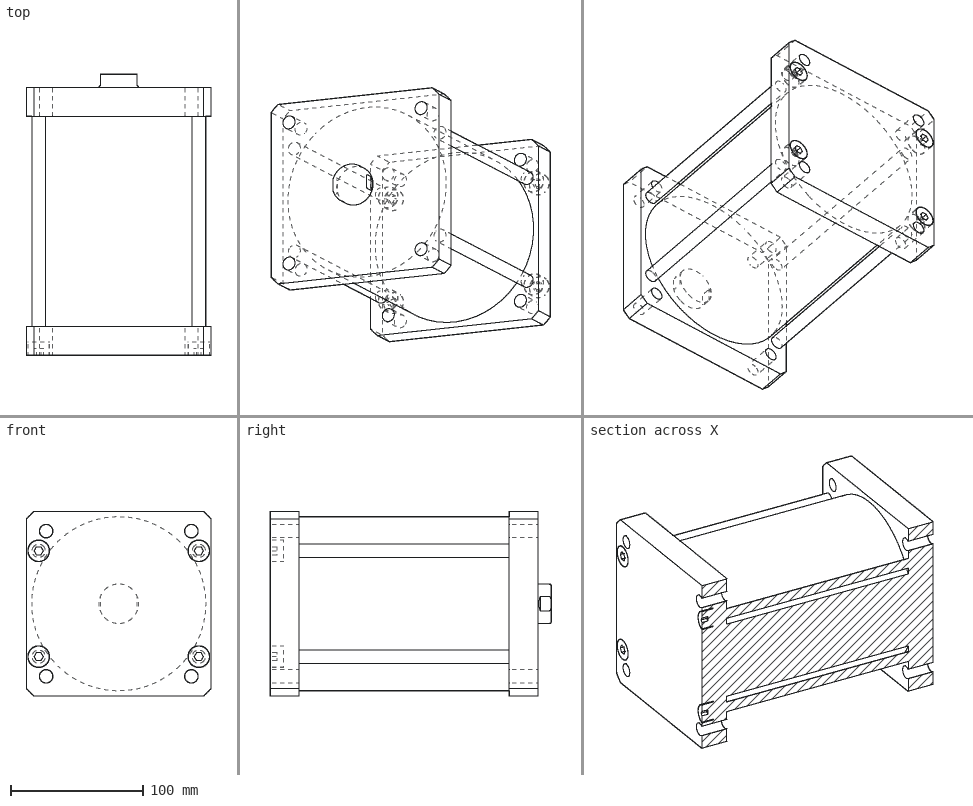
import cadquery as cq
import math

plate_width = 140.0
plate_thickness = 22.0
plate_corner_diameter = 190.0
mount_hole_diameter = 10.0
mount_hole_offset = 55.0

barrel_diameter = 132.0
barrel_length = 159.0

tie_rod_diameter = 10.0
tie_rod_x = 60.65
tie_rod_z = 40.1
head_diameter = 16.0
head_height = 10.0
head_recess_diameter = 16.5
hex_across_flats = 6.0
hex_depth = 5.0

piston_rod_diameter = 30.0
piston_rod_length = 10.0
piston_rod_across_flats = 28.0
flat_base_gap = 1.6
rod_end_fillet = 1.5

front_face = 0.0
barrel_start = front_face + plate_thickness
barrel_end = barrel_start + barrel_length
rear_face = barrel_end + plate_thickness
rod_end = rear_face + piston_rod_length

mount_hole_points = [(sx * mount_hole_offset, sz * mount_hole_offset) for sx in (-1, 1) for sz in (-1, 1)]
tie_rod_points = [(sx * tie_rod_x, sz * tie_rod_z) for sx in (-1, 1) for sz in (-1, 1)]


def section_at(y):
    """Workplane across the Y axis at station y, with local axes +X and +Z and extrusion toward -Y."""
    return cq.Workplane("XZ", origin=(0, y, 0))


def cylinders(points, diameter, y_start, y_end):
    """Round bars along Y at the given (x, z) points."""
    return section_at(y_end).pushPoints(points).circle(diameter / 2).extrude(y_end - y_start)


def end_plate(y_start):
    """Square plate with corners turned to a common circle and four mounting holes."""
    y_end = y_start + plate_thickness
    plate = section_at(y_end).rect(plate_width, plate_width).extrude(plate_thickness)
    plate = plate.intersect(cylinders([(0, 0)], plate_corner_diameter, y_start, y_end))
    return plate.cut(cylinders(mount_hole_points, mount_hole_diameter, y_start, y_end))


def barrel():
    """Plain cylinder between the plates."""
    return cylinders([(0, 0)], barrel_diameter, barrel_start, barrel_end)


def tie_rods():
    """Four rods between the plates, just clear of the barrel wall."""
    return cylinders(tie_rod_points, tie_rod_diameter, barrel_start, barrel_end)


def head_clearances():
    """Ring gaps around the recessed rod heads and the hexagon sockets in them."""
    ring_end = front_face + head_height
    rings = cylinders(tie_rod_points, head_recess_diameter, front_face, ring_end)
    rings = rings.cut(cylinders(tie_rod_points, head_diameter, front_face, ring_end))
    hex_across_corners = hex_across_flats / math.cos(math.pi / 6)
    sockets = (
        section_at(front_face + hex_depth)
        .pushPoints(tie_rod_points)
        .polygon(6, hex_across_corners)
        .extrude(hex_depth)
    )
    return rings.union(sockets)


def piston_rod():
    """Rod end with a rounded tip and two flats facing -X and +X, each running out in a 45 degree ramp."""
    half_flats = piston_rod_across_flats / 2
    half_base = piston_rod_diameter / 2
    flat_start = rear_face + flat_base_gap
    ramp_start = flat_start - (half_base - half_flats)
    rod = cylinders([(0, 0)], piston_rod_diameter, rear_face, rod_end)
    rod = rod.faces(">Y").edges().fillet(rod_end_fillet)
    kept_profile = [
        (half_base, rear_face),
        (half_base, ramp_start),
        (half_flats, flat_start),
        (half_flats, rod_end),
        (-half_flats, rod_end),
        (-half_flats, flat_start),
        (-half_base, ramp_start),
        (-half_base, rear_face),
    ]
    between_flats = cq.Workplane("XY").polyline(kept_profile).close().extrude(half_base, both=True)
    return rod.intersect(between_flats)


result = (
    end_plate(front_face)
    .union(end_plate(barrel_end))
    .union(barrel())
    .union(tie_rods())
    .union(piston_rod())
    .cut(head_clearances())
)